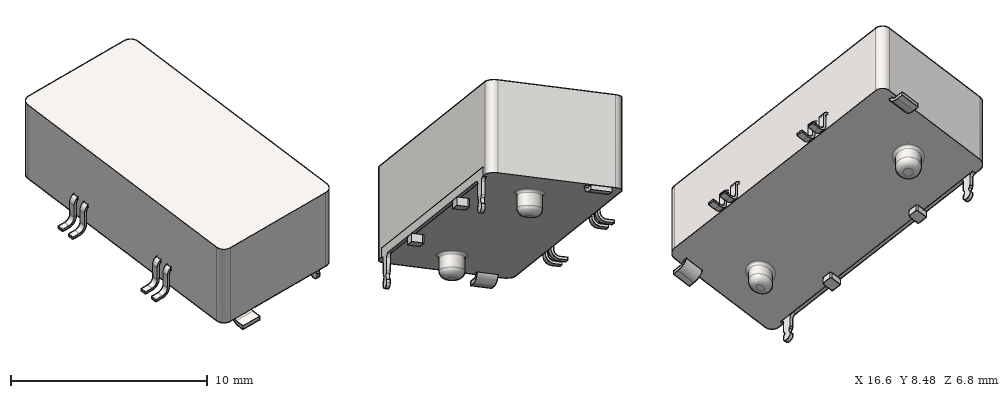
import cadquery as cq


overall_length = 16.59
overall_depth = 8.48
overall_height = 6.8

housing_length = 15.56
housing_depth = 7.45
housing_height = 5.0
housing_corner_radius = 0.5

front_y = -housing_depth / 2
rear_y = housing_depth / 2
side_x = housing_length / 2

seating_drop = 0.45
seating_z = -seating_drop

peg_diameter = 1.33
narrow_peg_width = 1.11
peg_length = 1.25
peg_offset_x = 5.36
peg_y = 0.51
peg_root_radius = 0.15
peg_tip_radius = 0.4

foot_width = 0.6
foot_depth = 0.7
foot_outer_x = 3.42
foot_chamfer_x = 0.05
foot_chamfer_y = 0.1

lead_pair_offset = 3.2
lead_pitch = 0.8
lead_width = 0.35
lead_thickness = 0.15
lead_gap = 0.1
lead_bend_radius = 0.5
lead_upper_bend_z = 0.86
lead_tail = 0.25

tab_width = 1.15
tab_front_distance = 1.48
tab_thickness = 0.25
tab_leg_inset = 0.22
tab_inner_radius = 0.2
tab_outer_radius = 0.65
tab_leg_height = 0.5

plate_thickness = 0.2
plate_height = 0.5
lock_offset_x = 6.52
lock_width = 0.5
lock_root_radius = 0.2
lock_neck_width = 0.3
lock_shank_length = 0.9
lock_neck_z = -1.18
lock_head_z = -1.4
lock_neck_half_height = 0.13
lock_length = overall_height - housing_height


def make_peg(x, width):
    """Peg with a domed tip and a flared root; its section is a circle or an ellipse in Y."""
    peg = (
        cq.Workplane("XY")
        .center(x, peg_y)
        .ellipse(width / 2, peg_diameter / 2)
        .extrude(-peg_length)
    )
    return peg.faces("<Z").edges().fillet(peg_tip_radius)


def make_foot(side):
    """Support foot flush with the rear face, its two front corners chamfered."""
    outer_x = side * foot_outer_x
    inner_x = side * (foot_outer_x - foot_width)
    outer_chamfer_x = outer_x - side * foot_chamfer_x
    inner_chamfer_x = inner_x + side * foot_chamfer_x
    foot_front_y = rear_y - foot_depth
    chamfer_y = foot_front_y + foot_chamfer_y
    return (
        cq.Workplane("XY")
        .moveTo(inner_x, rear_y)
        .lineTo(outer_x, rear_y)
        .lineTo(outer_x, chamfer_y)
        .lineTo(outer_chamfer_x, foot_front_y)
        .lineTo(inner_chamfer_x, foot_front_y)
        .lineTo(inner_x, chamfer_y)
        .close()
        .extrude(seating_z)
    )


def make_housing_block():
    """Rounded block with pegs and feet, still without the seats for the metal parts."""
    block = (
        cq.Workplane("XY")
        .box(housing_length, housing_depth, housing_height, centered=(True, True, False))
        .edges("|Z")
        .fillet(housing_corner_radius)
    )
    for x, width in ((-peg_offset_x, narrow_peg_width), (peg_offset_x, peg_diameter)):
        block = block.union(make_peg(x, width))
        root_box = cq.selectors.BoxSelector(
            (x - peg_diameter, peg_y - peg_diameter, -peg_root_radius / 2),
            (x + peg_diameter, peg_y + peg_diameter, peg_root_radius / 2),
        )
        block = block.edges(root_box).fillet(peg_root_radius)
    for side in (-1, 1):
        block = block.union(make_foot(side))
    return block


def make_lead(x):
    """Lead that leaves the front face, bends down past it and ends in a flat foot."""
    outer_radius = lead_bend_radius
    inner_radius = outer_radius - lead_thickness
    back_y = front_y - lead_gap
    face_y = back_y - lead_thickness
    upper_bend_y = face_y + outer_radius
    tail_y = upper_bend_y + lead_tail
    lower_bend_y = back_y - outer_radius
    lower_bend_z = seating_z + outer_radius
    foot_end_y = rear_y - overall_depth
    return (
        cq.Workplane("YZ", origin=(x - lead_width / 2, 0, 0))
        .moveTo(tail_y, lead_upper_bend_z + outer_radius)
        .lineTo(upper_bend_y, lead_upper_bend_z + outer_radius)
        .tangentArcPoint((face_y, lead_upper_bend_z), relative=False)
        .lineTo(face_y, lower_bend_z)
        .tangentArcPoint((lower_bend_y, seating_z + lead_thickness), relative=False)
        .lineTo(foot_end_y, seating_z + lead_thickness)
        .lineTo(foot_end_y, seating_z)
        .lineTo(lower_bend_y, seating_z)
        .tangentArcPoint((back_y, lower_bend_z), relative=False)
        .lineTo(back_y, lead_upper_bend_z)
        .tangentArcPoint((upper_bend_y, lead_upper_bend_z + inner_radius), relative=False)
        .lineTo(tail_y, lead_upper_bend_z + inner_radius)
        .close()
        .extrude(lead_width)
    )


def make_tab(side):
    """L-shaped solder tab: a leg up into the housing and a foot pointing outwards."""
    leg_outer_x = side_x - tab_leg_inset
    leg_inner_x = leg_outer_x - tab_thickness
    foot_end_x = overall_length / 2
    foot_top_z = seating_z + tab_thickness
    tab_rear_y = front_y + tab_front_distance + tab_width / 2
    tab = (
        cq.Workplane("XZ", origin=(0, tab_rear_y, 0))
        .moveTo(foot_end_x, seating_z)
        .lineTo(leg_inner_x + tab_outer_radius, seating_z)
        .tangentArcPoint((leg_inner_x, seating_z + tab_outer_radius), relative=False)
        .lineTo(leg_inner_x, tab_leg_height)
        .lineTo(leg_outer_x, tab_leg_height)
        .lineTo(leg_outer_x, foot_top_z + tab_inner_radius)
        .tangentArcPoint((leg_outer_x + tab_inner_radius, foot_top_z), relative=False)
        .lineTo(foot_end_x, foot_top_z)
        .close()
        .extrude(tab_width)
    )
    return tab if side > 0 else tab.mirror("YZ")


def make_board_lock(x):
    """Flat prong with a flared root, a necked shank and a round-ended head."""
    half_width = lock_width / 2
    half_neck = lock_neck_width / 2
    mid_half = (half_width + half_neck) / 2
    neck_top_z = lock_neck_z + lock_neck_half_height
    neck_bottom_z = lock_neck_z - lock_neck_half_height
    tip_arc_z = half_width - lock_length
    root_half = half_width + lock_root_radius
    return (
        cq.Workplane("XZ", origin=(x, rear_y, 0))
        .moveTo(-root_half, 0)
        .radiusArc((-half_width, -lock_root_radius), lock_root_radius)
        .lineTo(-half_width, -lock_shank_length)
        .tangentArcPoint((-mid_half, neck_top_z), relative=False)
        .threePointArc((-half_neck, lock_neck_z), (-mid_half, neck_bottom_z))
        .lineTo(-half_width, lock_head_z)
        .lineTo(-half_width, tip_arc_z)
        .threePointArc((0, -lock_length), (half_width, tip_arc_z))
        .lineTo(half_width, lock_head_z)
        .lineTo(mid_half, neck_bottom_z)
        .threePointArc((half_neck, lock_neck_z), (mid_half, neck_top_z))
        .lineTo(half_width, -lock_shank_length)
        .lineTo(half_width, -lock_root_radius)
        .radiusArc((root_half, 0), lock_root_radius)
        .close()
        .extrude(plate_thickness)
    )


def make_rear_plate():
    """Strip along the rear face that carries both board locks."""
    plate_length = 2 * (lock_offset_x + lock_width / 2 + lock_root_radius)
    plate = cq.Workplane("XY").box(
        plate_length, plate_thickness, plate_height, centered=(True, True, False)
    )
    plate = plate.translate((0, rear_y - plate_thickness / 2, 0))
    for side in (-1, 1):
        plate = plate.union(make_board_lock(side * lock_offset_x))
    return plate


leads = [
    make_lead(pair * lead_pair_offset + end * lead_pitch / 2)
    for pair in (-1, 1)
    for end in (-1, 1)
]
tabs = [make_tab(side) for side in (-1, 1)]
rear_plate = make_rear_plate()

housing = make_housing_block()
for metal_part in [*leads, *tabs, rear_plate]:
    housing = housing.cut(metal_part)

result = cq.Compound.makeCompound(
    [
        housing.val(),
        *[lead.val() for lead in leads],
        *[tab.val() for tab in tabs],
        rear_plate.val(),
    ]
)